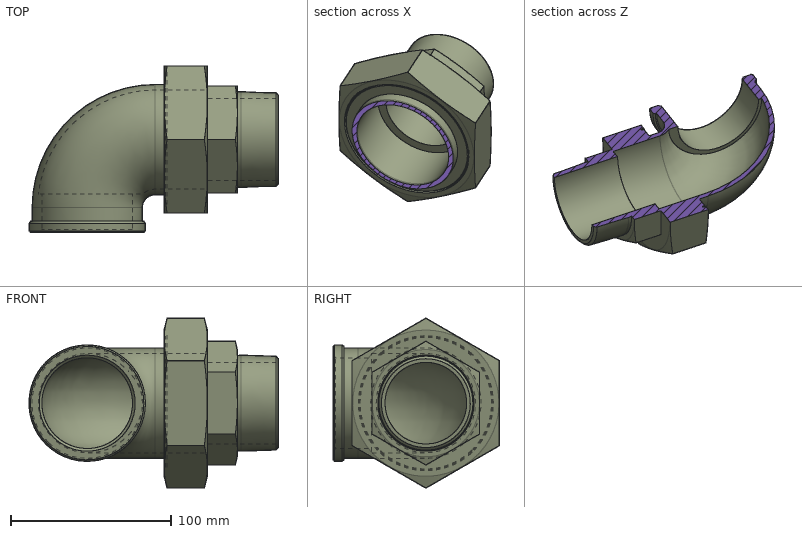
import cadquery as cq
import math


pipe_radius = 34.5
bend_radius = 42.5
port_length = 58.0
bore_radius = 28.33
bore_mouth_radius = 30.0
bore_mouth_depth = bore_mouth_radius - bore_radius
thread_depth = 24.0
cavity_radius = 31.0
outlet_radius = 25.5

bead_radius = 36.4
bead_width = 7.0
bead_chamfer = 1.0
bead_back_chamfer_length = 1.4

nut_start = 48.0
nut_end = 75.1
tailpiece_hex_end = 93.8
union_end = 119.5

nut_across_flats = 92.0
nut_corner_radius = 53.07
nut_chamfer_radius = 45.7
nut_chamfer_length = 1.9
nut_mouth_radius = 42.2

collar_radius = 41.6
collar_recess = 0.3
collar_chamfer = 0.5

tail_across_flats = 67.0
tail_corner_radius = 39.0
tail_chamfer_radius = 33.5
tail_chamfer_length = 1.3

relief_length = 2.2
relief_radius = 29.8
thread_large_radius = 30.05
thread_taper = 1 / 32
thread_end_chamfer = 1.6


def turned(profile):
    """Solid of revolution about X from (x, radius) points, closed on the axis."""
    points = [(profile[0][0], 0)] + profile + [(profile[-1][0], 0)]
    return cq.Workplane("XZ").polyline(points).close().revolve(360, (0, 0, 0), (1, 0, 0))


def port_cylinder(radius, depth):
    """Cylinder on the port axis, from the port face inward."""
    return cq.Workplane("XZ", origin=(0, -port_length, 0)).circle(radius).extrude(-depth)


def elbow_run(radius, end_x):
    """Round run from the port face through the bend to a station on the union axis."""
    path = (
        cq.Workplane("XY")
        .moveTo(0, -port_length)
        .lineTo(0, -bend_radius)
        .radiusArc((bend_radius, 0), bend_radius)
        .lineTo(end_x, 0)
    )
    return cq.Workplane("XZ", origin=(0, -port_length, 0)).circle(radius).sweep(path)


def hex_bar(across_flats, start, end):
    """Hexagon along X with corners pointing up and down."""
    corner_diameter = across_flats / math.cos(math.pi / 6)
    return (
        cq.Workplane("YZ", origin=(start, 0, 0))
        .transformed(rotate=(0, 0, 90))
        .polygon(6, corner_diameter)
        .extrude(end - start)
    )


def port_bead():
    return (
        port_cylinder(bead_radius, bead_width)
        .faces("<Y")
        .chamfer(bead_chamfer)
        .faces(">Y")
        .chamfer(bead_back_chamfer_length, bead_chamfer)
    )


def union_nut():
    envelope = turned([
        (nut_start, nut_chamfer_radius),
        (nut_start + nut_chamfer_length, nut_corner_radius),
        (nut_end - nut_chamfer_length, nut_corner_radius),
        (nut_end, nut_chamfer_radius),
    ])
    mouth = turned([
        (nut_start, nut_mouth_radius),
        (nut_start + nut_chamfer_length, nut_mouth_radius),
    ])
    collar_start = nut_start + collar_recess
    collar = turned([
        (collar_start, collar_radius - collar_chamfer),
        (collar_start + collar_chamfer, collar_radius),
        (nut_end, collar_radius),
    ])
    nut = hex_bar(nut_across_flats, nut_start, nut_end).intersect(envelope)
    return nut.cut(mouth).union(collar)


def tailpiece():
    envelope = turned([
        (nut_end, tail_corner_radius),
        (tailpiece_hex_end - tail_chamfer_length, tail_corner_radius),
        (tailpiece_hex_end, tail_chamfer_radius),
    ])
    tail_hex = hex_bar(tail_across_flats, nut_end, tailpiece_hex_end).intersect(envelope)
    thread_start = tailpiece_hex_end + relief_length
    chamfer_start = union_end - thread_end_chamfer
    thread_small_radius = thread_large_radius - thread_taper * (chamfer_start - thread_start)
    thread = turned([
        (tailpiece_hex_end, relief_radius),
        (thread_start, thread_large_radius),
        (chamfer_start, thread_small_radius),
        (union_end, thread_small_radius - thread_end_chamfer),
    ])
    return tail_hex.union(thread)


def cavity():
    """Widened hollow following the bend, closed at the port end by a flat shoulder."""
    port_zone = port_cylinder(bead_radius, thread_depth)
    return elbow_run(cavity_radius, nut_end).cut(port_zone)


def outlet_bore():
    return turned([(nut_end, outlet_radius), (union_end, outlet_radius)])


def bore_mouth():
    """Countersink at the port face."""
    return (
        cq.Workplane("XZ", origin=(0, -port_length, 0))
        .circle(bore_mouth_radius)
        .workplane(offset=-bore_mouth_depth)
        .circle(bore_radius)
        .loft()
    )


result = (
    elbow_run(pipe_radius, nut_end)
    .union(port_bead())
    .union(union_nut())
    .union(tailpiece())
    .cut(cavity())
    .cut(port_cylinder(bore_radius, thread_depth))
    .cut(outlet_bore())
    .cut(bore_mouth())
)